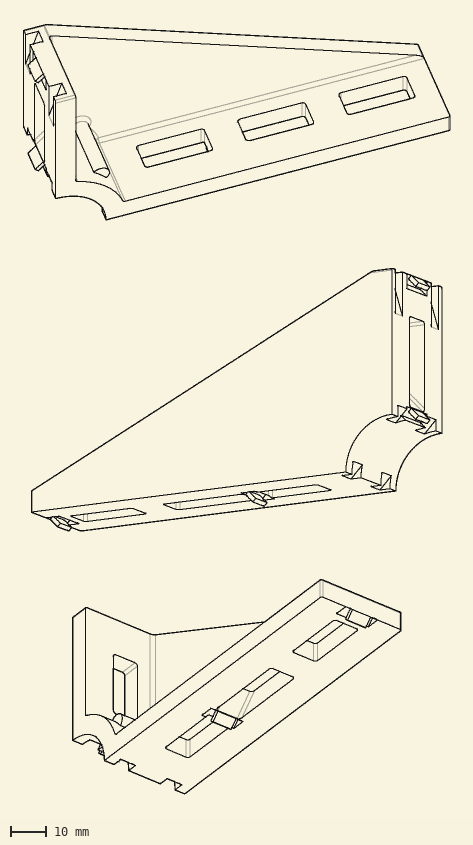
import cadquery as cq
import math

width = 28.0
foot_length = 117.0
plate_height = 57.0
wall = 6.0
half_width = width / 2

web_thickness = 4.4
web_fillet = 1.1
corner_fillet = 0.8
outer_fillet = 0.6

relief_radius = 14.9
corner_wall_radius = relief_radius + wall
notch_leg = 18.1
notch_outer_x = 10.6

bead_radius = 2.6
bead_offset = 14.8

slot_width = 8.4
slot_length = 20.0
slot_corner = 0.8
plate_slot_start = 25.0
foot_slot_pitch = 30.0
foot_slot_count = 3
slanted_foot_slot = 2

tab_reach = 2.4
tab_root = 1.0
tab_gap = 0.2
tab_width = 6.3
tab_pocket_depth = 2.1
tab_pocket_width = 11.1

wedge_depth = 3.8
wedge_height = 12.7
wedge_inner_x = 8.1
wedge_outer_x = 12.0

margin = 2.4


def prism(points, x_start, x_end):
    """Extrude a (y, z) outline along X."""
    return cq.Workplane("YZ", origin=(x_start, 0, 0)).polyline(points).close().extrude(x_end - x_start)


def x_cylinder(radius, y, z, x_start, x_end):
    """Cylinder along X."""
    return cq.Workplane("YZ", origin=(x_start, y, z)).circle(radius).extrude(x_end - x_start)


def plate_prism(points, full_width):
    """Extrude a (y, z) outline, centred on X."""
    return prism(points, -full_width / 2, full_width / 2)


def on_foot(shape):
    """Swap Y and Z, which carries a plate feature over to the foot."""
    return shape.mirror((0, 1, -1))


def outer_block():
    """Solid wedge, rounded along the sides of its top and end and at both ends of its slope."""
    outline = [
        (0, 0),
        (foot_length, 0),
        (foot_length, wall),
        (wall, plate_height),
        (0, plate_height),
    ]
    block = prism(outline, -half_width, half_width)
    top = block.faces(">Z")
    end = block.faces(">Y")
    side_edges = top.edges("|Y").add(end.edges("|Z"))
    slope_edges = top.edges(">Y").add(end.edges(">Z"))
    return side_edges.add(slope_edges).fillet(outer_fillet)


def cavity():
    """Space between the two walls, rounded where it meets the web and the corner wall."""
    web_face = web_thickness - half_width
    space = (
        cq.Workplane("XY")
        .box(width, foot_length, plate_height, centered=False)
        .translate((web_face, wall, wall))
    )
    cavity_end = web_face + width
    space = space.cut(x_cylinder(corner_wall_radius, 0, 0, web_face, cavity_end))

    corner_reach = math.sqrt(corner_wall_radius**2 - wall**2)
    for y, z in ((corner_reach, wall), (wall, corner_reach)):
        corner_edge = cq.NearestToPointSelector((web_face + width / 2, y, z))
        space = space.edges(corner_edge).fillet(corner_fillet)

    space = space.cut(x_cylinder(bead_radius, bead_offset, bead_offset, web_face, -web_face))
    return space.faces("<X").edges().fillet(web_fillet)


def slot(start, slanted):
    """Round-cornered slot through the plate; a slanted floor drops at 45 degrees towards the outside."""
    drop = 1 if slanted else 0
    outline = [
        (-margin, start - drop * (wall + margin)),
        (wall + margin, start + drop * margin),
        (wall + margin, start + slot_length),
        (-margin, start + slot_length),
    ]
    return plate_prism(outline, slot_width).edges("not(|X or |Z)").fillet(slot_corner)


def tab_pocket(root):
    """V groove in the plate's outside that frees the sides of a tab."""
    outline = [
        (0, root),
        (tab_pocket_depth, root - tab_pocket_depth),
        (0, root - 2 * tab_pocket_depth),
    ]
    return plate_prism(outline, tab_pocket_width)


def tab(root):
    """Tab slanting out of the plate at 45 degrees."""
    outline = [
        (0, root),
        (-tab_reach, root - tab_reach),
        (tab_root - tab_reach, root - tab_reach - tab_root),
        (tab_root, root - tab_root),
    ]
    return plate_prism(outline, tab_width)


def relief_notches():
    """Pair of 45 degree notches that clip both ends of the round relief."""
    outline = [(0, 0), (notch_leg, 0), (0, notch_leg)]
    notch = prism(outline, tab_pocket_width / 2, notch_outer_x)
    return notch.union(notch.mirror("YZ"))


def wedge_pockets():
    """Pair of pockets that deepen towards the plate's top."""
    outline = [(0, plate_height - wedge_height), (wedge_depth, plate_height), (0, plate_height)]
    pocket = prism(outline, wedge_inner_x, wedge_outer_x)
    return pocket.union(pocket.mirror("YZ"))


result = outer_block().cut(cavity())
result = result.cut(x_cylinder(relief_radius, 0, 0, -half_width, half_width))
result = result.cut(relief_notches()).cut(wedge_pockets())

result = result.cut(slot(plate_slot_start, True))
for number in range(1, foot_slot_count + 1):
    foot_slot = slot(number * foot_slot_pitch, number == slanted_foot_slot)
    result = result.cut(on_foot(foot_slot))

tab_setback = wall + tab_gap
for plate_root in (plate_height, plate_slot_start - tab_setback):
    result = result.cut(tab_pocket(plate_root)).union(tab(plate_root))
for foot_root in (foot_length, slanted_foot_slot * foot_slot_pitch - tab_setback):
    result = result.cut(on_foot(tab_pocket(foot_root))).union(on_foot(tab(foot_root)))